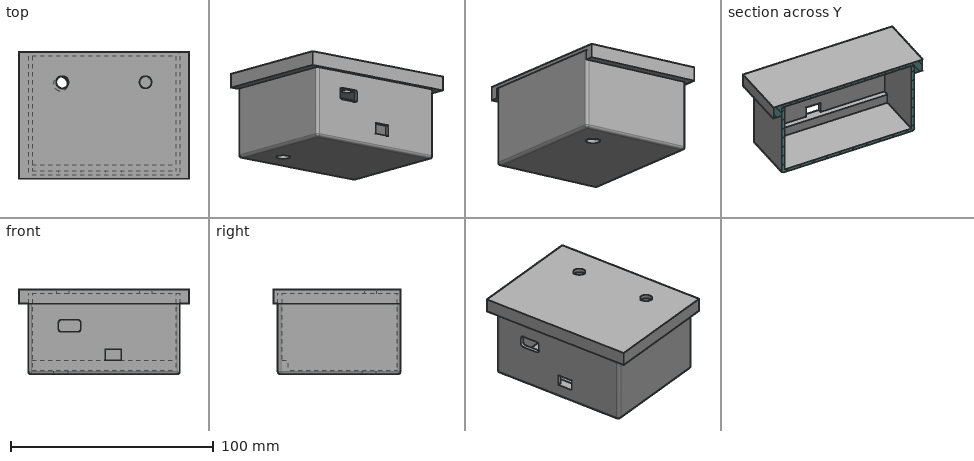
import cadquery as cq

wall = 2.0
lid_length = 84.0
lid_width = 62.75
lid_height = 7.0
lid_plate = 2.0
total_height = 42.0

box_length = 75.0
box_width = lid_width - wall
box_height = total_height - lid_plate
box_back_y = lid_width / 2
box_front_y = box_back_y - box_width
edge_radius = 1.5
floor_thickness = 2.0

slot_length = 11.0
slot_height = 6.0
slot_radius = 1.5
slot_center_x = -17.0
slot_center_z = 24.0

window_length = 8.0
window_height = 5.5
window_center_x = 4.5
window_sill_z = 7.0
ledge_depth = 3.0

lid_hole_diameter = 6.0
lid_hole_spacing = 41.0
lid_hole_back_margin = 15.0
lid_hole_y = lid_width / 2 - lid_hole_back_margin
floor_hole_diameter = 7.0
floor_hole_offset_x = 1.0
floor_hole_offset_y = 0.75
floor_hole_x = -lid_hole_spacing / 2 - floor_hole_offset_x
floor_hole_y = lid_hole_y - floor_hole_offset_y


def block(length, y_min, y_max, z_min, z_max, center_x=0.0):
    """Box between the given Y and Z limits, centred at center_x."""
    return (
        cq.Workplane("XY")
        .box(length, y_max - y_min, z_max - z_min, centered=(True, False, False))
        .translate((center_x, y_min, z_min))
    )


def front_opening(length, height, center_x, center_z):
    """Cutter that passes through the front wall only."""
    z_min = center_z - height / 2
    return block(length, box_front_y, box_front_y + wall, z_min, z_min + height, center_x)


def make_box():
    shell = block(box_length, box_front_y, box_back_y, 0, box_height)
    shell = shell.edges("|Z or <Z").fillet(edge_radius)
    inner_length = box_length - 2 * wall
    inner_front_y = box_front_y + wall
    cavity = block(inner_length, inner_front_y, box_back_y - wall, floor_thickness, box_height)
    ledge = block(
        inner_length, inner_front_y, inner_front_y + ledge_depth, floor_thickness, window_sill_z
    )
    slot = front_opening(slot_length, slot_height, slot_center_x, slot_center_z)
    slot = slot.edges("|Y").fillet(slot_radius)
    window = front_opening(
        window_length, window_height, window_center_x, window_sill_z + window_height / 2
    )
    floor_hole = (
        cq.Workplane("XY")
        .center(floor_hole_x, floor_hole_y)
        .circle(floor_hole_diameter / 2)
        .extrude(floor_thickness)
    )
    return shell.cut(cavity).union(ledge).cut(slot).cut(window).cut(floor_hole)


def make_lid():
    skirt_z = total_height - lid_height
    cap = block(lid_length, -lid_width / 2, lid_width / 2, skirt_z, total_height)
    recess = block(box_length, box_front_y, box_back_y, skirt_z, box_height)
    recess = recess.edges("|Z and <Y").fillet(edge_radius)
    holes = (
        cq.Workplane("XY", origin=(0, lid_hole_y, box_height))
        .rarray(lid_hole_spacing, 1, 2, 1)
        .circle(lid_hole_diameter / 2)
        .extrude(lid_plate)
    )
    return cap.cut(recess).cut(holes)


box = make_box()
lid = make_lid()

result = cq.Compound.makeCompound([box.val(), lid.val()])